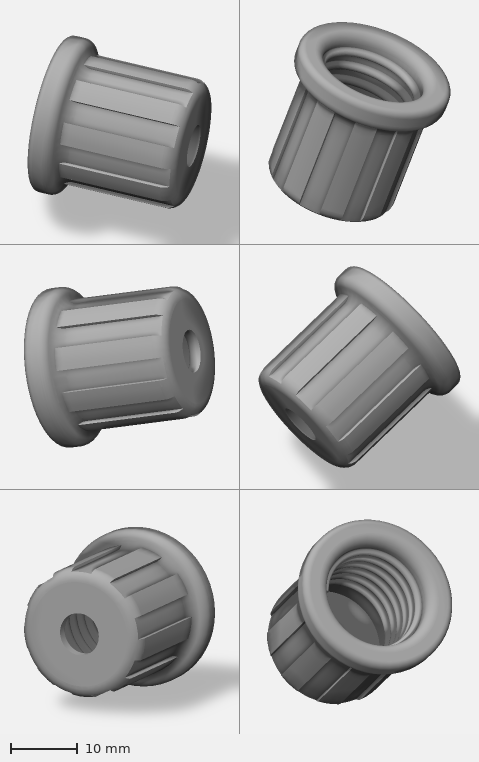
import cadquery as cq
import math

length = 22.5
flange_radius = 12.05
rib_radius = 10.0
groove_floor_radius = 9.47
wall = 2.0

flange_front_fillet = 1.0
flange_back_start = 2.5
flange_back_fillet = 1.5
neck_fillet = 2.0
end_fillet = 2.0

rib_count = 9
rib_pitch_angle = 360 / rib_count
rib_angle = rib_pitch_angle / 2

bore_radius = rib_radius - wall
floor_x = length - wall
mouth_fillet = 1.6
hole_radius = 3.23
hole_fillet = 0.5

pitch = 2.5
turns = 6
thread_start_x = 1.78
crest_radius = 7.2
ridge_base = 1.5
flank_angle = 30
crest_fillet = 0.45
root_fillet = 0.25
root_sink = 0.02
root_overlap = 0.35


def make_outer_body():
    """Flange, neck and cylinder at groove floor size, as one turned solid."""
    back_y = flange_radius - flange_back_fillet
    neck_y = groove_floor_radius + neck_fillet
    reach = flange_back_fillet + neck_fillet
    neck_x = flange_back_start + math.sqrt(reach**2 - (neck_y - back_y) ** 2)
    tilt = math.atan2(neck_y - back_y, neck_x - flange_back_start)

    def back_point(angle):
        return (
            flange_back_start + flange_back_fillet * math.cos(angle),
            back_y + flange_back_fillet * math.sin(angle),
        )

    def neck_point(angle):
        return (neck_x - neck_fillet * math.cos(angle), neck_y - neck_fillet * math.sin(angle))

    return (
        cq.Workplane("XY")
        .lineTo(0, flange_radius - flange_front_fillet)
        .radiusArc((flange_front_fillet, flange_radius), flange_front_fillet)
        .lineTo(flange_back_start, flange_radius)
        .threePointArc(back_point((tilt + math.pi / 2) / 2), back_point(tilt))
        .threePointArc(neck_point((tilt + math.pi / 2) / 2), neck_point(math.pi / 2))
        .lineTo(length, groove_floor_radius)
        .lineTo(length, 0)
        .close()
        .revolve(360, (0, 0, 0), (1, 0, 0))
    )


def make_ribs():
    """Radial-sided ribs standing on the groove floor, buried in the flange at one end."""
    rib = (
        cq.Workplane("XY")
        .moveTo(flange_back_start, bore_radius)
        .lineTo(flange_back_start, rib_radius)
        .lineTo(length, rib_radius)
        .lineTo(length, bore_radius)
        .close()
        .revolve(rib_angle, (0, 0, 0), (1, 0, 0))
    )
    ribs = cq.Workplane("XY")
    first_angle = 90 + rib_angle / 2
    for index in range(rib_count):
        angle = first_angle + index * rib_pitch_angle
        ribs = ribs.add(rib.rotate((0, 0, 0), (1, 0, 0), angle))
    return ribs.combine()


def make_end_envelope():
    """Turned outline that rounds the closed end of the ribs and the body."""
    return (
        cq.Workplane("YZ")
        .circle(rib_radius)
        .extrude(length)
        .faces(">X")
        .edges()
        .fillet(end_fillet)
        .union(cq.Workplane("YZ").circle(flange_radius).extrude(length / 2))
    )


def make_cavity():
    """Bore with a rounded mouth, and the end hole with a rounded inner edge."""
    return (
        cq.Workplane("XY")
        .lineTo(0, bore_radius + mouth_fillet)
        .radiusArc((mouth_fillet, bore_radius), -mouth_fillet)
        .lineTo(floor_x, bore_radius)
        .lineTo(floor_x, hole_radius + hole_fillet)
        .radiusArc((floor_x + hole_fillet, hole_radius), -hole_fillet)
        .lineTo(length, hole_radius)
        .lineTo(length, 0)
        .close()
        .revolve(360, (0, 0, 0), (1, 0, 0))
    )


def make_thread():
    """Trapezoidal ridge with rounded crest and root, swept along a helix inside the bore."""
    spread = math.tan(math.radians(flank_angle))
    buried_radius = bore_radius + root_overlap
    foot_radius = bore_radius + root_sink
    half_foot = ridge_base / 2 + root_sink * spread
    half_buried = half_foot + root_fillet
    half_crest = ridge_base / 2 - (bore_radius - crest_radius) * spread
    corners = [
        (buried_radius, -half_buried),
        (foot_radius, -half_buried),
        (foot_radius, -half_foot),
        (crest_radius, -half_crest),
        (crest_radius, half_crest),
        (foot_radius, half_foot),
        (foot_radius, half_buried),
        (buried_radius, half_buried),
    ]
    root_corners = [(foot_radius, -half_foot), (foot_radius, half_foot)]
    profile = cq.Sketch().polygon(corners + corners[:1])
    profile = profile.vertices("<X").fillet(crest_fillet).reset()
    for corner in root_corners:
        profile = profile.vertices(cq.NearestToPointSelector((*corner, 0))).fillet(root_fillet).reset()

    helix = cq.Wire.makeHelix(pitch, turns * pitch, bore_radius)
    ridge = cq.Workplane("XZ").placeSketch(profile).sweep(cq.Workplane(obj=helix), isFrenet=True)
    return ridge.rotate((0, 0, 0), (1, 1, 1), 120).translate((thread_start_x + ridge_base / 2, 0, 0))


body = make_outer_body().union(make_ribs()).intersect(make_end_envelope())
threaded_cavity = make_cavity().cut(make_thread())
result = body.cut(threaded_cavity, clean=False)